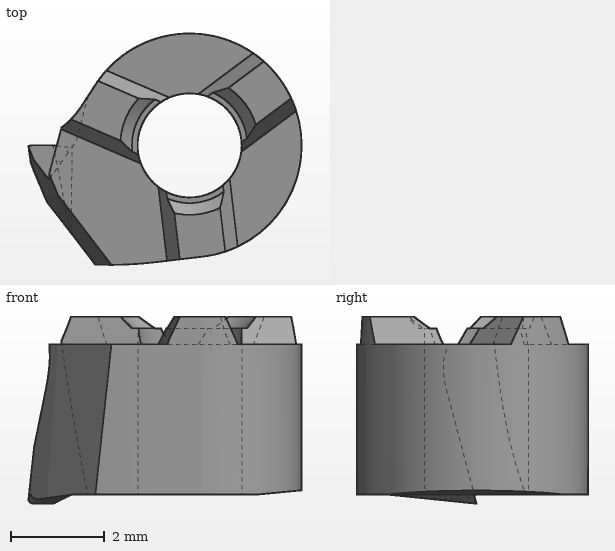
import cadquery as cq
import math

BODY_R = 2.395
HOLE_R = 1.11
SEAT_Z = 3.21
TOOTH_TOP_Z = 3.8
TIP_DROP = 0.2
MARGIN = 0.29

BELLY_TANGENT_X = 0.28
BELLY_LINE_END_X = -0.71
BELLY_ARC_R = 8.76
BACK_TANGENT_Y = 1.3
BACK_LINE_END_Y = 0.835
BACK_ARC_R = 1.75
BACK_ARC_TURN = 0.35
OUTLINE_LEFT_X = -3.74

FLANK_CORNERS = [(-2.02, -2.54), (-3.04, -1.205), (-3.4, -0.355), (-3.435, -0.045)]
FLANK_LEAN = (0.073, 0.043)

RAKE_Y = -0.045
RAKE_LEAN = -0.265
FLOOR_POINT = (-2.18, 1.04)
FLOOR_SLOPE = 0.265
FLOOR_LEAN = -0.12
POCKET_R = 0.205
POCKET_REACH = 2.335

TIP_FLAT_END_X = -2.92
TIP_ROOT_X = -2.515
TIP_LEFT_X = -3.465
TIP_SIDE_LEAN = 0.2
TIP_CORNER_R = 0.145
TIP_RELIEF_LENGTH = 1.93

RELIEF_START_X = 1.48
RELIEF_RISE = 0.09

TOOTH_COUNT = 3
TOOTH_ANGLE = -83.3
TOOTH_FOOT_W = 1.535
TOOTH_TOP_W = 0.98
LEDGE_R = 1.23
LEDGE_Z = 3.55


def slanted_prism(points, z_low, z_high, lean_x, lean_y, plane="XY"):
    """Prism whose section, given on the plane, shifts steadily along its normal."""
    prism = cq.Workplane(plane).workplane(offset=z_low)
    prism = prism.polyline([(x + lean_x * z_low, y + lean_y * z_low) for x, y in points]).close()
    prism = prism.workplane(offset=z_high - z_low)
    prism = prism.polyline([(x + lean_x * z_high, y + lean_y * z_high) for x, y in points]).close()
    return prism.loft(ruled=True)


def arc_on(center, radius, start, turn):
    """Middle and end points of an arc from angle start through angle turn."""
    return [
        (center[0] + radius * math.cos(a), center[1] + radius * math.sin(a))
        for a in (start + turn / 2, start + turn)
    ]


def outline_body(z_low, z_high):
    """Round body with tangent straight sides towards the cutting corner."""
    belly_angle = -math.acos(BELLY_TANGENT_X / BODY_R)
    belly_start = (BELLY_TANGENT_X, BODY_R * math.sin(belly_angle))
    belly_slope = -1 / math.tan(belly_angle)
    belly_end = (
        BELLY_LINE_END_X,
        belly_start[1] + belly_slope * (BELLY_LINE_END_X - BELLY_TANGENT_X),
    )
    belly_center = (
        belly_end[0] - BELLY_ARC_R * math.cos(belly_angle),
        belly_end[1] - BELLY_ARC_R * math.sin(belly_angle),
    )
    belly_final = math.acos((FLANK_CORNERS[0][0] - MARGIN - belly_center[0]) / BELLY_ARC_R)
    belly_mid, belly_tip = arc_on(belly_center, BELLY_ARC_R, belly_angle, -belly_final - belly_angle)

    back_angle = math.pi - math.asin(BACK_TANGENT_Y / BODY_R)
    back_start = (BODY_R * math.cos(back_angle), BACK_TANGENT_Y)
    back_slope = -1 / math.tan(back_angle)
    back_end = (back_start[0] + (BACK_LINE_END_Y - BACK_TANGENT_Y) / back_slope, BACK_LINE_END_Y)
    back_center = (
        back_end[0] + BACK_ARC_R * math.cos(back_angle),
        back_end[1] + BACK_ARC_R * math.sin(back_angle),
    )
    back_mid, back_tip = arc_on(back_center, BACK_ARC_R, back_angle - math.pi, -BACK_ARC_TURN)

    far_angle = (belly_angle + back_angle) / 2
    far_point = (BODY_R * math.cos(far_angle), BODY_R * math.sin(far_angle))
    return (
        cq.Workplane("XY").workplane(offset=z_low)
        .moveTo(*belly_tip)
        .threePointArc(belly_mid, belly_end)
        .lineTo(*belly_start)
        .threePointArc(far_point, back_start)
        .lineTo(*back_end)
        .threePointArc(back_mid, back_tip)
        .lineTo(OUTLINE_LEFT_X, back_tip[1])
        .lineTo(OUTLINE_LEFT_X, belly_tip[1])
        .close()
        .extrude(z_high - z_low)
    )


def extend(start, end, y):
    """Point at the given Y on the line through start and end."""
    slope = (end[0] - start[0]) / (end[1] - start[1])
    return (start[0] + slope * (y - start[1]), y)


def flank_envelope(z_low, z_high):
    """Everything on the body side of the leaning flanks."""
    reach = 2 * BODY_R
    heel, knee, shoulder, tip = FLANK_CORNERS
    points = [
        extend(knee, heel, -reach), knee, shoulder, extend(shoulder, tip, BODY_R / 2),
        (-reach, reach), (reach, reach), (reach, -reach),
    ]
    return slanted_prism(points, z_low, z_high, *FLANK_LEAN)


def chip_pocket(z_low, z_high):
    """Leaning wedge in front of the rake face, with a rounded inner edge."""
    floor_x = FLOOR_POINT[0] + FLOOR_SLOPE * (RAKE_Y - FLOOR_POINT[1])
    lean_x = FLOOR_SLOPE * RAKE_LEAN + FLOOR_LEAN
    points = [
        (floor_x, RAKE_Y),
        (floor_x + FLOOR_SLOPE * POCKET_REACH, RAKE_Y + POCKET_REACH),
        (floor_x - POCKET_REACH, RAKE_Y + POCKET_REACH),
        (floor_x - POCKET_REACH, RAKE_Y),
    ]
    middle = (z_low + z_high) / 2
    inner_edge = (floor_x + lean_x * middle, RAKE_Y + RAKE_LEAN * middle, middle)
    wedge = slanted_prism(points, z_low, z_high, lean_x, RAKE_LEAN)
    return wedge.edges(cq.NearestToPointSelector(inner_edge)).fillet(POCKET_R)


def tip_envelope():
    """Bar under the body that rises along -Y and shapes the cutting tip."""
    points = [
        (TIP_ROOT_X, 0), (TIP_FLAT_END_X, -TIP_DROP), (TIP_LEFT_X, -TIP_DROP),
        (TIP_LEFT_X, BODY_R), (TIP_ROOT_X, BODY_R),
    ]
    rise = TIP_DROP / TIP_RELIEF_LENGTH
    bar = slanted_prism(points, -MARGIN, 2 * BODY_R, TIP_SIDE_LEAN, rise, "XZ")
    middle = BODY_R - MARGIN / 2
    corner = (TIP_LEFT_X + TIP_SIDE_LEAN * middle, -middle, rise * middle - TIP_DROP)
    return bar.edges(cq.NearestToPointSelector(corner)).fillet(TIP_CORNER_R)


def underside_relief():
    """Wedge removed below the +X side."""
    slope = RELIEF_RISE / (BODY_R - RELIEF_START_X)
    end_x = BODY_R + MARGIN
    return (
        cq.Workplane("XZ")
        .polyline([(RELIEF_START_X, 0), (end_x, slope * (end_x - RELIEF_START_X)), (end_x, 0)])
        .close()
        .extrude(2 * BODY_R, both=True)
    )


def tooth(angle):
    """Radial drive tooth with sloping sides."""
    return (
        cq.Workplane("YZ")
        .polyline([
            (-TOOTH_FOOT_W / 2, SEAT_Z), (TOOTH_FOOT_W / 2, SEAT_Z),
            (TOOTH_TOP_W / 2, TOOTH_TOP_Z), (-TOOTH_TOP_W / 2, TOOTH_TOP_Z),
        ])
        .close()
        .extrude(2 * BODY_R)
        .rotate((0, 0, 0), (0, 0, 1), angle)
    )


def bore():
    """Through hole with a ledge and a 45 degree countersink in the teeth."""
    sink_r = LEDGE_R + TOOTH_TOP_Z - LEDGE_Z
    return (
        cq.Workplane("XZ")
        .polyline([
            (0, -MARGIN), (HOLE_R, -MARGIN), (HOLE_R, LEDGE_Z), (LEDGE_R, LEDGE_Z),
            (sink_r, TOOTH_TOP_Z), (0, TOOTH_TOP_Z),
        ])
        .close()
        .revolve(360, (0, 0, 0), (0, 1, 0))
    )


z_bottom = -TIP_DROP - MARGIN
z_top = TOOTH_TOP_Z + MARGIN

block_size = 4 * BODY_R
seat_block = cq.Workplane("XY").rect(block_size, block_size).extrude(SEAT_Z)
zone = seat_block.union(tip_envelope().intersect(
    cq.Workplane("XY").workplane(offset=z_bottom).rect(block_size, block_size).extrude(SEAT_Z)))
for index in range(TOOTH_COUNT):
    zone = zone.union(tooth(TOOTH_ANGLE + index * 360 / TOOTH_COUNT))

result = outline_body(z_bottom, z_top).intersect(flank_envelope(z_bottom, z_top)).intersect(zone)
result = result.cut(chip_pocket(z_bottom, z_top)).cut(underside_relief()).cut(bore())